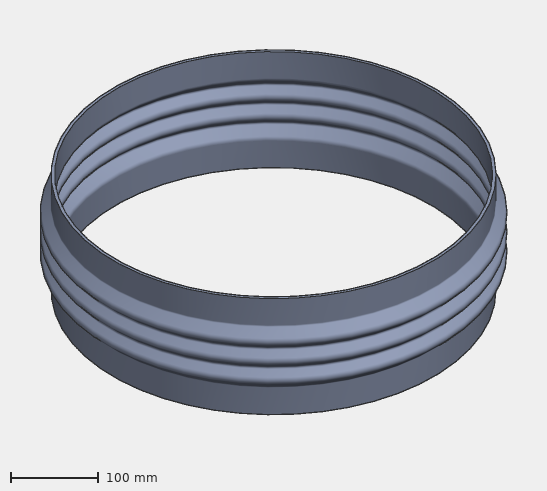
import cadquery as cq
import math

outer_diameter = 533.0
height = 160.0
cuff_outer_diameter = 508.0
cuff_inner_diameter = 500.0
fold_count = 3
fold_pitch = 26.5
tight_bend_radius = 2.4
flank_angle = math.radians(45)

cuff_radius = cuff_outer_diameter / 2
wall = (cuff_outer_diameter - cuff_inner_diameter) / 2
wide_bend_radius = tight_bend_radius + wall
crest_round_loss = wide_bend_radius * (1 / math.cos(flank_angle) - 1)
outer_apex_radius = outer_diameter / 2 + crest_round_loss


def wall_corners(inset):
    """Sharp (radius, z) corners of the wall surface lying `inset` inside the outer surface, bottom to top."""
    apex_radius = outer_apex_radius - inset / math.cos(flank_angle)
    cylinder_radius = cuff_radius - inset
    valley_radius = apex_radius - fold_pitch / 2 * math.tan(flank_angle)
    last_crest = (fold_count - 1) / 2 * fold_pitch
    cuff_end = last_crest + (apex_radius - cylinder_radius) / math.tan(flank_angle)

    corners = [(cylinder_radius, -height / 2), (cylinder_radius, -cuff_end)]
    for index in range(fold_count):
        crest_z = index * fold_pitch - last_crest
        if index > 0:
            corners.append((valley_radius, crest_z - fold_pitch / 2))
        corners.append((apex_radius, crest_z))
    corners += [(cylinder_radius, cuff_end), (cylinder_radius, height / 2)]
    return corners


def trace_rounded(sketch, corners, convex_radius, concave_radius):
    """Draw from the first corner to the last, rounding each bend between them."""
    for before, corner, after in zip(corners, corners[1:], corners[2:]):
        to_before = cq.Vector(*before) - cq.Vector(*corner)
        to_after = cq.Vector(*after) - cq.Vector(*corner)
        is_crest = to_before.x + to_after.x < 0
        bend_radius = convex_radius if is_crest else concave_radius
        setback = bend_radius / math.tan(to_before.getAngle(to_after) / 2)
        arc_start = cq.Vector(*corner) + to_before.normalized() * setback
        arc_end = cq.Vector(*corner) + to_after.normalized() * setback
        sketch = sketch.lineTo(arc_start.x, arc_start.y)
        sketch = sketch.tangentArcPoint((arc_end.x, arc_end.y), relative=False)
    return sketch.lineTo(*corners[-1])


outer_corners = wall_corners(0)
inner_corners = wall_corners(wall)[::-1]
section = cq.Workplane("XZ").moveTo(*outer_corners[0])
section = trace_rounded(section, outer_corners, wide_bend_radius, tight_bend_radius)
section = section.lineTo(*inner_corners[0])
section = trace_rounded(section, inner_corners, tight_bend_radius, wide_bend_radius)

result = section.close().revolve(360, (0, 0, 0), (0, 1, 0))